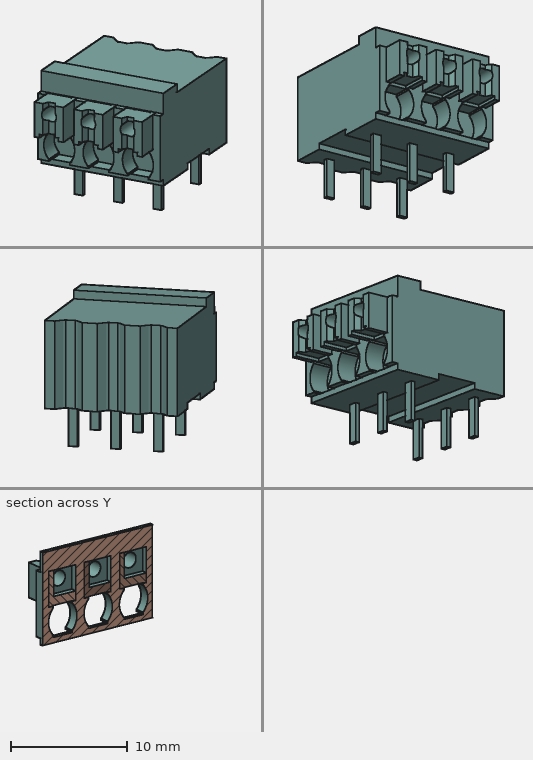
import cadquery as cq


POLE_COUNT = 3
POLE_PITCH = 3.8
POLE_X = [(i - (POLE_COUNT - 1) / 2) * POLE_PITCH for i in range(POLE_COUNT)]

WIDTH = 11.83
BACK_Y = 14.3
BODY_TOP = 7.74
CAP_TOP = 8.5
CAP_BACK_Y = 5.12
CAP_FRONT_Y = 2.59
PLATE_FRONT_Y = 2.0
PLATE_TOP = 6.6
PLATE_BOTTOM = 0.57
RELIEF_FRONT_Y = 7.14
RELIEF_BACK_Y = 11.07
RELIEF_DEPTH = 0.55

SCALLOP_HALF_MOUTH = 1.22
SCALLOP_SIDE_DEPTH = 0.59
SCALLOP_DEPTH = 0.7
SCALLOP_HALF_FLAT = 0.41

CAVITY_BACK_Y = 3.9
ENTRY_SHIFT_X = -0.05
ENTRY_WIDTH = 2.0
ENTRY_BULGE_WIDTH = 2.99
ENTRY_FLOOR = 0.55
BULGE_BOTTOM = 0.73
BULGE_TOP = 3.2

BUTTON_WIDTH = 2.8
BUTTON_BOTTOM = 3.4
BUTTON_HEIGHT = PLATE_TOP - BUTTON_BOTTOM
SHOULDER_Y = 2.43
STEM_WIDTH = 0.5
FOOT_HEIGHT = 0.86
NOTCH_DEPTH = 0.55
NOTCH_MOUTH = 1.17
NOTCH_FLOOR = 0.61
PROBE_RADIUS = 0.7
PROBE_CENTRE_Z = 5.56
CHANNEL_WIDTH = 1.85
CHANNEL_HEIGHT = 0.31

PIN_WIDTH = 0.8
PIN_THICKNESS = 0.4
PIN_LENGTH = 3.5
PIN_ROWS_Y = [5.63, 12.61]
PIN_SHIFT_X = 0.03


def box(x_min, x_max, y_min, y_max, z_min, z_max):
    size = (x_max - x_min, y_max - y_min, z_max - z_min)
    return cq.Workplane().box(*size, centered=False).translate((x_min, y_min, z_min))


def cylinder_along_y(x, z, radius, y_min, y_max):
    plane = cq.Workplane("XZ", origin=(x, y_min, z))
    return plane.circle(radius).extrude(y_min - y_max)


def housing_block():
    profile = [
        (BACK_Y, 0),
        (BACK_Y, BODY_TOP),
        (CAP_BACK_Y, BODY_TOP),
        (CAP_BACK_Y, CAP_TOP),
        (CAP_FRONT_Y, CAP_TOP),
        (CAP_FRONT_Y, PLATE_TOP),
        (PLATE_FRONT_Y, PLATE_TOP),
        (PLATE_FRONT_Y, PLATE_BOTTOM),
        (CAP_FRONT_Y, PLATE_BOTTOM),
        (CAP_FRONT_Y, 0),
        (RELIEF_FRONT_Y, 0),
        (RELIEF_FRONT_Y, RELIEF_DEPTH),
        (RELIEF_BACK_Y, RELIEF_DEPTH),
        (RELIEF_BACK_Y, 0),
    ]
    return cq.Workplane("YZ").polyline(profile).close().extrude(WIDTH / 2, both=True)


def back_scallop(x):
    half_side = SCALLOP_HALF_MOUTH - SCALLOP_SIDE_DEPTH
    outline = [
        (x - SCALLOP_HALF_MOUTH, BACK_Y),
        (x - half_side, BACK_Y - SCALLOP_SIDE_DEPTH),
        (x - SCALLOP_HALF_FLAT, BACK_Y - SCALLOP_DEPTH),
        (x + SCALLOP_HALF_FLAT, BACK_Y - SCALLOP_DEPTH),
        (x + half_side, BACK_Y - SCALLOP_SIDE_DEPTH),
        (x + SCALLOP_HALF_MOUTH, BACK_Y),
    ]
    return cq.Workplane().polyline(outline).close().extrude(BODY_TOP)


def wire_entry(x):
    middle = x + ENTRY_SHIFT_X
    half = ENTRY_WIDTH / 2
    bulge = ENTRY_BULGE_WIDTH / 2
    bulge_middle = (BULGE_BOTTOM + BULGE_TOP) / 2
    return (
        cq.Workplane("XZ", origin=(middle, PLATE_FRONT_Y, 0))
        .moveTo(-half, ENTRY_FLOOR)
        .lineTo(half, ENTRY_FLOOR)
        .lineTo(half, BULGE_BOTTOM)
        .threePointArc((bulge, bulge_middle), (half, BULGE_TOP))
        .lineTo(half, BUTTON_BOTTOM)
        .lineTo(-half, BUTTON_BOTTOM)
        .lineTo(-half, BULGE_TOP)
        .threePointArc((-bulge, bulge_middle), (-half, BULGE_BOTTOM))
        .close()
        .extrude(PLATE_FRONT_Y - CAVITY_BACK_Y)
    )


def button_slot(x):
    half = BUTTON_WIDTH / 2
    return box(x - half, x + half, PLATE_FRONT_Y, CAVITY_BACK_Y, BUTTON_BOTTOM, PLATE_TOP)


def make_housing():
    housing = housing_block()
    for x in POLE_X:
        housing = housing.cut(back_scallop(x))
        housing = housing.cut(wire_entry(x))
        housing = housing.cut(button_slot(x))
    return housing


def front_notch(x):
    outline = [
        (x - NOTCH_MOUTH / 2, 0),
        (x - NOTCH_FLOOR / 2, NOTCH_DEPTH),
        (x + NOTCH_FLOOR / 2, NOTCH_DEPTH),
        (x + NOTCH_MOUTH / 2, 0),
    ]
    base = cq.Workplane(origin=(0, 0, BUTTON_BOTTOM))
    return base.polyline(outline).close().extrude(BUTTON_HEIGHT)


def make_button(x):
    left = x - BUTTON_WIDTH / 2
    right = x + BUTTON_WIDTH / 2
    foot_top = BUTTON_BOTTOM + FOOT_HEIGHT
    channel_left = x - CHANNEL_WIDTH / 2
    channel_right = x + CHANNEL_WIDTH / 2
    channel_top = BUTTON_BOTTOM + CHANNEL_HEIGHT

    blank = box(left, right, 0, CAVITY_BACK_Y, BUTTON_BOTTOM, PLATE_TOP)
    shoulder_gap = box(left, right - STEM_WIDTH, SHOULDER_Y, CAVITY_BACK_Y, foot_top, PLATE_TOP)
    probe_hole = cylinder_along_y(x, PROBE_CENTRE_Z, PROBE_RADIUS, 0, SHOULDER_Y)
    channel = box(channel_left, channel_right, 0, SHOULDER_Y, BUTTON_BOTTOM, channel_top)
    return blank.cut(front_notch(x)).cut(shoulder_gap).cut(probe_hole).cut(channel)


def make_pin(x, y):
    return cq.Workplane(origin=(x + PIN_SHIFT_X, y, 0)).rect(PIN_WIDTH, PIN_THICKNESS).extrude(-PIN_LENGTH)


housing = make_housing()
buttons = [make_button(x) for x in POLE_X]
pins = [make_pin(x, y) for y in PIN_ROWS_Y for x in POLE_X]

result = cq.Compound.makeCompound(
    [housing.val()] + [button.val() for button in buttons] + [pin.val() for pin in pins]
)